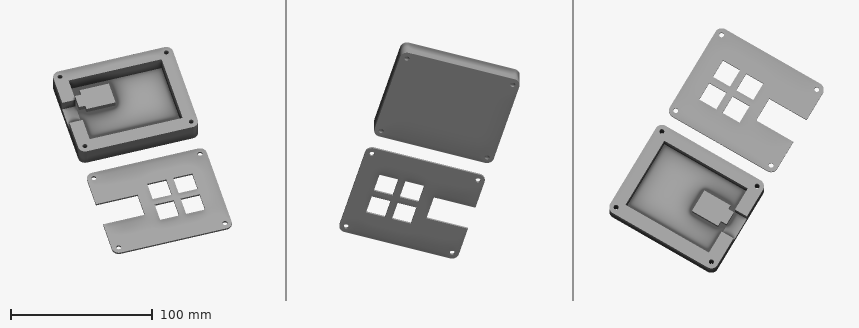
import cadquery as cq

case_width = 73.5
case_length = 88.0
corner_radius = 5.0
screw_hole_diameter = 3.5
screw_hole_inset = 4.9

overall_width = 157.8
overall_height = 23.5
plate_shift_x = overall_width - case_width
plate_shift_y = 0.6

housing_height = 13.3
wall_thickness = 9.8
floor_thickness = 3.0
port_width = 18.5
port_depth = 7.5

plate_thickness = 1.5
key_size = 14.0
key_pitch = 19.1
key_columns = 2
key_rows = 2
key_group_center_y = 56.4
notch_length = 30.6

board_width = 17.4
board_length = 21.5
board_thickness = 3.6
board_left = 27.6
connector_width = 10.3
connector_length = 4.5
connector_front = 8.2


def box(width, length, height, x, y, z):
    """Box with its lower front left corner at (x, y, z)."""
    return cq.Workplane("XY").box(width, length, height, centered=False).translate((x, y, z))


def rounded_slab(thickness):
    """Case outline with rounded corners and a screw hole through each corner."""
    slab = box(case_width, case_length, thickness, 0, 0, 0).edges("|Z").fillet(corner_radius)
    hole_spacing_x = case_width - 2 * screw_hole_inset
    hole_spacing_y = case_length - 2 * screw_hole_inset
    holes = (
        cq.Workplane("XY")
        .center(case_width / 2, case_length / 2)
        .rect(hole_spacing_x, hole_spacing_y, forConstruction=True)
        .vertices()
        .circle(screw_hole_diameter / 2)
        .extrude(thickness)
    )
    return slab.cut(holes)


def make_housing():
    """Open tray with a cable port cut through the front wall."""
    pocket = box(
        case_width - 2 * wall_thickness,
        case_length - 2 * wall_thickness,
        housing_height - floor_thickness,
        wall_thickness,
        wall_thickness,
        floor_thickness,
    )
    port_left = (case_width - port_width) / 2
    port = box(port_width, wall_thickness, port_depth, port_left, 0, housing_height - port_depth)
    return rounded_slab(housing_height).cut(pocket).cut(port)


def make_cover_plate():
    """Plate with a grid of square key openings and a notch in its front edge."""
    keys = (
        cq.Workplane("XY")
        .center(case_width / 2, key_group_center_y)
        .rarray(key_pitch, key_pitch, key_columns, key_rows)
        .rect(key_size, key_size)
        .extrude(plate_thickness)
    )
    notch_left = (case_width - port_width) / 2
    notch = box(port_width, notch_length, plate_thickness, notch_left, 0, 0)
    plate = rounded_slab(plate_thickness).cut(keys).cut(notch)
    return plate.translate((plate_shift_x, plate_shift_y, 0))


def make_board():
    """Board floating above the housing, its connector centred on the cable port."""
    bottom = overall_height - board_thickness
    board_front = connector_front + connector_length
    body = box(board_width, board_length, board_thickness, board_left, board_front, bottom)
    connector_left = (case_width - connector_width) / 2
    connector = box(
        connector_width, connector_length, board_thickness, connector_left, connector_front, bottom
    )
    return body.union(connector)


housing = make_housing()
cover_plate = make_cover_plate()
board = make_board()

result = cq.Compound.makeCompound([housing.val(), cover_plate.val(), board.val()])